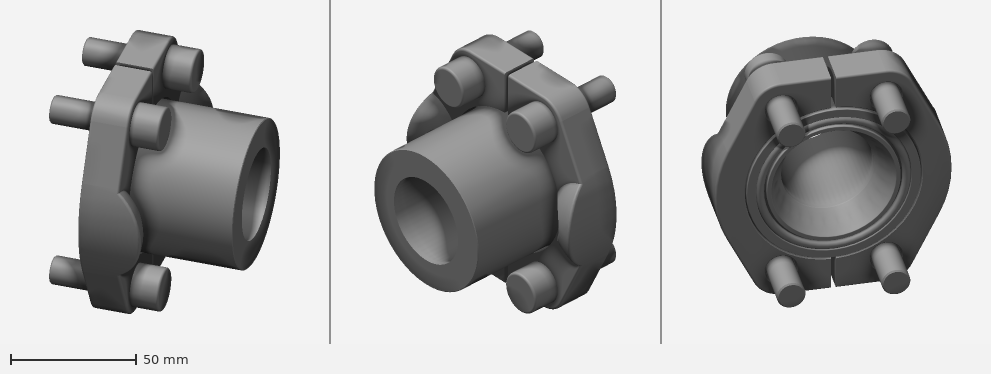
import cadquery as cq
import math


clamp_length = 102.0
clamp_width = 97.0
clamp_thickness = 16.0
clamp_gap = 2.0
edge_radius = 1.0
recess_diameter = 72.4
sleeve_hole_diameter = 63.8
recess_chamfer = 0.5

lobe_top = 26.3
lobe_centre_x = 0.9

bolt_spacing_y = 42.9
bolt_spacing_z = 77.8
bolt_diameter = 11.7
bolt_length = 35.0
bolt_tip_chamfer = 0.6
head_diameter = 18.0
head_height = 12.0
head_edge_radius = 1.0
bolt_hole_diameter = 13.0
bolt_hole_chamfer = 0.5

adapter_length = 60.0
adapter_proud = 0.5
flange_diameter = 71.4
flange_thickness = 9.7
flange_back_radius = 0.7
sleeve_diameter = 62.0
sleeve_end_chamfer = 0.3
bore_diameter = 38.0
mouth_diameter = 51.2
mouth_depth = 11.4
groove_outer_diameter = 63.8
groove_inner_diameter = 54.9
face_edge_radius = 0.3
throat_radius = 1.0

ring_section_diameter = 3.6
ring_proud = 0.5

clamp_radius = clamp_width / 2
bolt_y = bolt_spacing_y / 2
bolt_z = bolt_spacing_z / 2
corner_radius = clamp_length / 2 - bolt_z
adapter_face = -adapter_proud
flange_back = adapter_face + flange_thickness
groove_depth = ring_section_diameter - ring_proud
bolt_positions = [(y, z) for y in (-bolt_y, bolt_y) for z in (-bolt_z, bolt_z)]


def x_cylinder(diameter, start, end, y=0, z=0):
    """Cylinder along X between two X places."""
    plane = cq.Plane(origin=(start, y, z), xDir=(0, 1, 0), normal=(1, 0, 0))
    return cq.Workplane(plane).circle(diameter / 2).extrude(end - start)


def countersink(diameter, chamfer, y=0, z=0):
    """Cone that breaks the front edge of a hole in the clamp."""
    cone = cq.Solid.makeCone(
        diameter / 2 + chamfer, diameter / 2, chamfer, cq.Vector(0, y, z), cq.Vector(1, 0, 0)
    )
    return cq.Workplane(cone)


def clamp_prism(thickness):
    """Outline of both halves together: side arcs joined tangentially to the corner arcs."""
    centre_distance = math.hypot(bolt_y, bolt_z)
    normal_angle = math.atan2(bolt_z, bolt_y) - math.acos((clamp_radius - corner_radius) / centre_distance)
    normal_y = math.cos(normal_angle)
    normal_z = math.sin(normal_angle)
    mid_angle = (normal_angle + math.pi / 2) / 2

    side_y = clamp_radius * normal_y
    side_z = clamp_radius * normal_z
    corner_y = bolt_y + corner_radius * normal_y
    corner_z = bolt_z + corner_radius * normal_z
    corner_mid_y = bolt_y + corner_radius * math.cos(mid_angle)
    corner_mid_z = bolt_z + corner_radius * math.sin(mid_angle)
    top = clamp_length / 2

    return (
        cq.Workplane("YZ")
        .moveTo(side_y, -side_z)
        .threePointArc((clamp_radius, 0), (side_y, side_z))
        .lineTo(corner_y, corner_z)
        .threePointArc((corner_mid_y, corner_mid_z), (bolt_y, top))
        .lineTo(-bolt_y, top)
        .threePointArc((-corner_mid_y, corner_mid_z), (-corner_y, corner_z))
        .lineTo(-side_y, side_z)
        .threePointArc((-clamp_radius, 0), (-side_y, -side_z))
        .lineTo(-corner_y, -corner_z)
        .threePointArc((-corner_mid_y, -corner_mid_z), (-bolt_y, -top))
        .lineTo(bolt_y, -top)
        .threePointArc((corner_mid_y, -corner_mid_z), (corner_y, -corner_z))
        .close()
        .extrude(thickness)
    )


def make_lobe():
    """Lobe of the +Y half, trimmed to the clamp outline, with its outer rim rounded."""
    root_x = clamp_thickness / 2
    ball = cq.Workplane("XY").sphere(lobe_top - lobe_centre_x).translate((lobe_centre_x, clamp_radius, 0))
    outline = clamp_prism(lobe_top).translate((root_x, 0, 0))
    lobe = outline.intersect(ball)
    lobe = lobe.faces(">Y").edges("(not |X) and (not <X)").fillet(edge_radius)

    relief_height = lobe_top - clamp_thickness
    relief_radius = sleeve_hole_diameter / 2
    relief = cq.Solid.makeCone(
        relief_radius, relief_radius + relief_height, relief_height,
        cq.Vector(clamp_thickness, 0, 0), cq.Vector(1, 0, 0),
    )
    return lobe.cut(cq.Workplane(relief))


def make_clamp_half():
    """The +Y clamp half: plate with a lobe, two bolt holes and a stepped hole for the adapter."""
    plate = (
        clamp_prism(clamp_thickness)
        .faces("<X or >X").edges().fillet(edge_radius)
        .union(make_lobe())
    )

    plate = plate.cut(x_cylinder(sleeve_hole_diameter, 0, lobe_top))
    plate = plate.cut(x_cylinder(recess_diameter, 0, flange_back))
    plate = plate.cut(countersink(recess_diameter, recess_chamfer))
    for z in (-bolt_z, bolt_z):
        plate = plate.cut(x_cylinder(bolt_hole_diameter, 0, clamp_thickness, bolt_y, z))
        plate = plate.cut(countersink(bolt_hole_diameter, bolt_hole_chamfer, bolt_y, z))

    half_space = (
        cq.Workplane("XY")
        .box(2 * clamp_length, clamp_width, 2 * clamp_length, centered=(True, False, True))
        .translate((0, clamp_gap / 2, 0))
    )
    return plate.intersect(half_space)


def make_bolt(y, z):
    """Cap screw seated on the back of the clamp, pointing to -X."""
    shank = (
        x_cylinder(bolt_diameter, clamp_thickness - bolt_length, clamp_thickness, y, z)
        .faces("<X").edges().chamfer(bolt_tip_chamfer)
    )
    head = (
        x_cylinder(head_diameter, clamp_thickness, clamp_thickness + head_height, y, z)
        .faces(">X").edges().fillet(head_edge_radius)
    )
    return shank.union(head)


def circular_edge(body, corner):
    """The round edge swept by one profile corner, given as (x, radius)."""
    tolerance = 0.001

    def matches(edge):
        same_x = abs(edge.Center().x - corner[0]) < tolerance
        return same_x and abs(edge.radius() - corner[1]) < tolerance

    return body.edges("%CIRCLE").filter(matches)


def make_adapter():
    """Sleeve with a front flange, a conical mouth and a groove for the seal ring."""
    end_x = adapter_face + adapter_length
    floor_x = adapter_face + groove_depth
    throat = (adapter_face + mouth_depth, bore_diameter / 2)
    mouth_rim = (adapter_face, mouth_diameter / 2)
    groove_inner_rim = (adapter_face, groove_inner_diameter / 2)
    groove_outer_rim = (adapter_face, groove_outer_diameter / 2)
    flange_front_rim = (adapter_face, flange_diameter / 2)
    flange_back_rim = (flange_back, flange_diameter / 2)
    flange_root = (flange_back, sleeve_diameter / 2)
    sleeve_rim = (end_x, sleeve_diameter / 2)
    profile = [
        throat,
        mouth_rim,
        groove_inner_rim,
        (floor_x, groove_inner_diameter / 2),
        (floor_x, groove_outer_diameter / 2),
        groove_outer_rim,
        flange_front_rim,
        flange_back_rim,
        flange_root,
        sleeve_rim,
        (end_x, bore_diameter / 2),
    ]
    body = cq.Workplane("XY").polyline(profile).close().revolve(360, (0, 0, 0), (1, 0, 0))

    roundings = [
        (throat, throat_radius),
        (mouth_rim, face_edge_radius),
        (groove_inner_rim, face_edge_radius),
        (groove_outer_rim, face_edge_radius),
        (flange_front_rim, face_edge_radius),
        (flange_back_rim, flange_back_radius),
        (flange_root, flange_back_radius),
    ]
    for corner, radius in roundings:
        body = circular_edge(body, corner).fillet(radius)
    return circular_edge(body, sleeve_rim).chamfer(sleeve_end_chamfer)


def make_seal_ring():
    """Round-section ring resting on the floor and the outer wall of its groove."""
    section_radius = ring_section_diameter / 2
    centre_x = adapter_face - ring_proud + section_radius
    centre_y = groove_outer_diameter / 2 - section_radius
    return (
        cq.Workplane("XY")
        .center(centre_x, centre_y)
        .circle(section_radius)
        .revolve(360, (0, -centre_y, 0), (1, -centre_y, 0))
    )


clamp_half = make_clamp_half()
clamp_halves = [clamp_half, clamp_half.rotate((0, 0, 0), (1, 0, 0), 180)]
bolts = [make_bolt(y, z) for y, z in bolt_positions]
adapter = make_adapter()
seal_ring = make_seal_ring()

result = cq.Compound.makeCompound([
    *[half.val() for half in clamp_halves],
    *[bolt.val() for bolt in bolts],
    adapter.val(),
    seal_ring.val(),
])